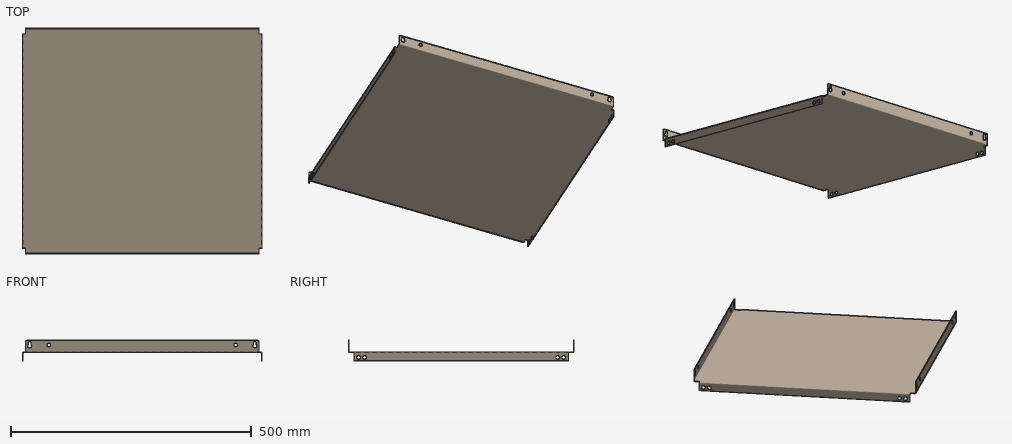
import cadquery as cq

length_x = 498.0
length_y = 469.0
height = 43.0
sheet = 1.5
inner_bend = 1.25
outer_bend = inner_bend + sheet

up_flange_width = 486.0
down_flange_width = 445.5
up_flange_height = 26.0
down_flange_height = height + sheet - up_flange_height
up_corner_radius = 4.0

keyhole_x = 234.0
keyhole_head_diameter = 8.0
keyhole_neck_width = 5.5
keyhole_head_drop = 12.0
keyhole_neck_drop = 5.5
small_hole_x = 194.0
small_hole_drop = 10.0
small_hole_diameter = 7.0

side_hole_positions = (213.0, 200.5)
side_hole_rise = 7.0
side_hole_diameter = 7.5

top_z = up_flange_height
bottom_z = sheet - down_flange_height


def channel(plane, span, lip_z, bend_z, width):
    """Panel with a bent lip at both ends, extruded symmetrically to the given width."""
    face_z = sheet - bend_z
    mid_z = (lip_z + bend_z) / 2
    outer = (
        cq.Workplane(plane)
        .center(0, mid_z)
        .rect(span, abs(lip_z - bend_z))
        .extrude(width / 2, both=True)
    )
    core_mid_z = (lip_z + face_z) / 2
    core = (
        cq.Workplane(plane)
        .center(0, core_mid_z)
        .rect(span - 2 * sheet, abs(lip_z - face_z))
        .extrude(width / 2, both=True)
    )
    bend_side = "<Z" if lip_z > bend_z else ">Z"
    along = "|X" if plane == "YZ" else "|Y"
    outer = outer.faces(bend_side).edges(along).fillet(outer_bend)
    core = core.faces(bend_side).edges(along).fillet(inner_bend)
    return outer.cut(core)


def round_cutter(plane, across, z, diameter):
    """Round bar passing through both opposite flanges."""
    return (
        cq.Workplane(plane)
        .center(across, z)
        .circle(diameter / 2)
        .extrude(length_x, both=True)
    )


def keyhole_cutter(x):
    """Keyhole with its wide head below a round-ended neck."""
    head_z = top_z - keyhole_head_drop
    neck_z = top_z - keyhole_neck_drop
    head = round_cutter("XZ", x, head_z, keyhole_head_diameter)
    neck_end = round_cutter("XZ", x, neck_z, keyhole_neck_width)
    neck = (
        cq.Workplane("XZ")
        .center(x, (head_z + neck_z) / 2)
        .rect(keyhole_neck_width, neck_z - head_z)
        .extrude(length_x, both=True)
    )
    return head.union(neck_end).union(neck)


up_channel = channel("YZ", length_y, top_z, 0, up_flange_width)
up_channel = up_channel.faces(">Z").edges("|Y").edges("<X or >X").fillet(up_corner_radius)
for side in (-1, 1):
    up_channel = up_channel.cut(keyhole_cutter(side * keyhole_x))
    small_hole = round_cutter("XZ", side * small_hole_x, top_z - small_hole_drop, small_hole_diameter)
    up_channel = up_channel.cut(small_hole)

down_channel = channel("XZ", length_x, bottom_z, sheet, down_flange_width)
for side in (-1, 1):
    for position in side_hole_positions:
        side_hole = round_cutter("YZ", side * position, bottom_z + side_hole_rise, side_hole_diameter)
        down_channel = down_channel.cut(side_hole)

result = up_channel.union(down_channel)